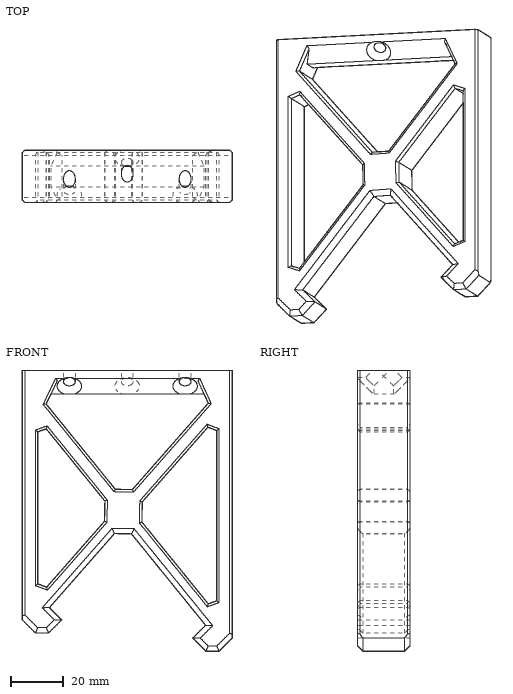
import cadquery as cq
import math

WIDTH = 80.0
DEPTH = 20.0
HEIGHT = 107.0
LEG_WIDTH = 6.0
FOOT_RISE = 7.0

BAR_HEIGHT = 9.0
BAR_BEVEL = 6.0

STRUT_WIDTH = 6.0
STRUT_TOP_DROP = 10.0
STRUT_FOOT_RISE = 5.8

FOOT_STEP = 5.0

CORNER_CUT = 5.0
BAR_CORNER_CUT = 12.6
EDGE_CHAMFER = 1.0
FOOT_CHAMFER = 2.0

HOLE_DIAMETER = 4.5
SINK_DIAMETER = 9.3
HOLE_SPACING = 22.0

HALF_WIDTH = WIDTH / 2
HALF_DEPTH = DEPTH / 2
LEG_INNER_X = HALF_WIDTH - LEG_WIDTH
LEG_MIDDLE_X = HALF_WIDTH - LEG_WIDTH / 2
BAR_FACE_Z = HEIGHT - BAR_HEIGHT + BAR_BEVEL
STRUT_TOP_Z = HEIGHT - STRUT_TOP_DROP
SOLE_Z = {-1: FOOT_RISE, 1: 0.0}


def strut_edge(foot_side, above):
    """Upper or lower edge line z = slope * x + offset of the strut that runs down to a foot."""
    rise = STRUT_TOP_Z - SOLE_Z[foot_side] - STRUT_FOOT_RISE
    slope = -foot_side * rise / (2 * LEG_MIDDLE_X)
    half_height = STRUT_WIDTH / 2 * math.hypot(1, slope)
    offset = STRUT_TOP_Z + foot_side * slope * LEG_MIDDLE_X
    return slope, offset + (half_height if above else -half_height)


def crossing(first, second):
    """Point where two lines z = slope * x + offset meet."""
    x = (second[1] - first[1]) / (first[0] - second[0])
    return x, first[0] * x + first[1]


def at_x(line, x):
    return x, line[0] * x + line[1]


def at_z(line, z):
    return (z - line[1]) / line[0], z


def prism(points):
    """Outline in X and Z, extruded through the full depth."""
    return cq.Workplane("XZ").polyline(points).close().extrude(HALF_DEPTH, both=True)


def upright_edge(point):
    """Selector for the depth-wise edge of a prism, whose middle lies at one outline point."""
    reach = 0.01
    x, z = point
    return cq.selectors.BoxSelector(
        (x - reach, -reach, z - reach), (x + reach, reach, z + reach)
    )


def hook(side):
    """Foot outline from the leg's outer side to the notch where the hook meets its strut."""
    sole_z = SOLE_Z[side]
    tip_x = side * (HALF_WIDTH - 3 * FOOT_STEP)
    tip_z = sole_z + FOOT_STEP
    hook_top = (side, tip_z - side * tip_x)
    return [
        (side * HALF_WIDTH, sole_z + FOOT_STEP),
        (side * (HALF_WIDTH - FOOT_STEP), sole_z),
        (side * (HALF_WIDTH - 2 * FOOT_STEP), sole_z),
        (tip_x, tip_z),
        crossing(hook_top, strut_edge(side, above=False)),
    ]


def make_body():
    """Solid frame outline with chamfered front and back edges, before the windows are cut."""
    hub_bottom = crossing(strut_edge(-1, above=False), strut_edge(1, above=False))
    top_corners = [(HALF_WIDTH, HEIGHT), (-HALF_WIDTH, HEIGHT)]
    body = prism(top_corners + hook(-1) + [hub_bottom] + hook(1)[::-1])
    body = body.edges(upright_edge(hub_bottom)).chamfer(CORNER_CUT)

    body = body.faces("<Y or >Y").edges("not |Z").edges("not >Z").chamfer(FOOT_CHAMFER)
    return body.faces("<X or >X").edges("|Z").chamfer(EDGE_CHAMFER)


def blunted_prism(points, cuts):
    """Prism with each of its corners cut off by an equal length along both sides."""
    window = prism(points)
    for point, cut in zip(points, cuts):
        window = window.edges(upright_edge(point)).chamfer(cut)
    return window


def make_side_window(side):
    """Cutter for the triangle between a leg and the two struts."""
    upper = strut_edge(-side, above=False)
    lower = strut_edge(side, above=True)
    leg_x = side * LEG_INNER_X
    corners = [crossing(upper, lower), at_x(upper, leg_x), at_x(lower, leg_x)]
    return blunted_prism(corners, [CORNER_CUT] * 3)


def make_top_window():
    """Cutter for the triangle between the bar and the two struts, up to the bar's front edge."""
    left = strut_edge(1, above=True)
    right = strut_edge(-1, above=True)
    corners = [crossing(left, right), at_z(left, BAR_FACE_Z), at_z(right, BAR_FACE_Z)]
    return blunted_prism(corners, [CORNER_CUT, BAR_CORNER_CUT, BAR_CORNER_CUT])


def chamfer_window_rims(frame):
    """Chamfer the window outlines on the front and back faces."""
    rims = [
        edge
        for face in frame.faces("<Y or >Y").vals()
        for wire in face.innerWires()
        for edge in wire.Edges()
    ]
    return frame.newObject(rims).chamfer(EDGE_CHAMFER)


def make_bar():
    """Top bar between the legs, with bevelled lower edges that close the top window."""
    bottom_z = HEIGHT - BAR_HEIGHT
    bottom_y = HALF_DEPTH - BAR_BEVEL
    profile = [
        (-HALF_DEPTH, HEIGHT),
        (-HALF_DEPTH, BAR_FACE_Z),
        (-bottom_y, bottom_z),
        (bottom_y, bottom_z),
        (HALF_DEPTH, BAR_FACE_Z),
        (HALF_DEPTH, HEIGHT),
    ]
    return cq.Workplane("YZ").polyline(profile).close().extrude(LEG_INNER_X, both=True)


def make_screw_hole(x, face):
    """Cutter for a hole square to the bar's front (face = -1) or back (face = 1) bevel."""
    sink_depth = (SINK_DIAMETER - HOLE_DIAMETER) / 2
    centre = cq.Vector(x, face * (HALF_DEPTH - BAR_BEVEL / 2), BAR_FACE_Z - BAR_BEVEL / 2)
    inward = cq.Vector(0, -face, 1).normalized()
    hole = cq.Solid.makeCylinder(HOLE_DIAMETER / 2, 2 * BAR_HEIGHT, centre, inward)
    sink = cq.Solid.makeCone(SINK_DIAMETER / 2, HOLE_DIAMETER / 2, sink_depth, centre, inward)
    return cq.Workplane(hole.fuse(sink))


frame = make_body().cut(make_side_window(-1)).cut(make_side_window(1)).cut(make_top_window())
frame = chamfer_window_rims(frame)
result = frame.union(make_bar())
for x, face in [(-HOLE_SPACING, -1), (0, 1), (HOLE_SPACING, -1)]:
    result = result.cut(make_screw_hole(x, face))